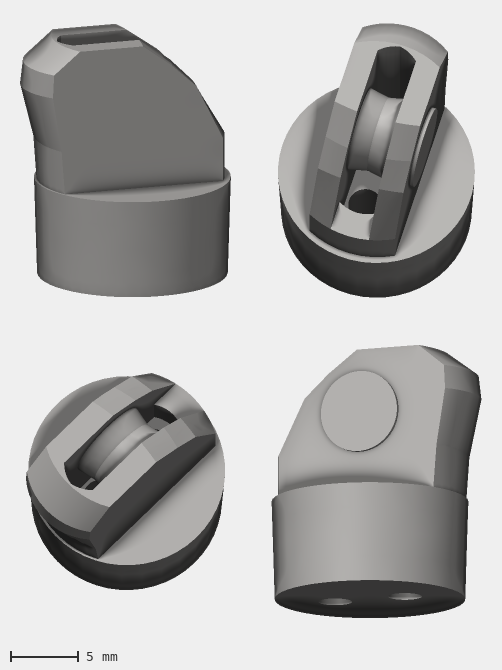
import cadquery as cq

base_bottom_radius = 7.03
base_top_radius = 7.253
base_height = 7.32

height = 18.11
head_width = 6.6
head_half_width = head_width / 2
floor_z = 10.58
head_sections = [
    (base_height, -7.08, -6.28, 6.77, 5.95),
    (floor_z, -7.32, -6.54, 6.77, 5.95),
    (14.72, -8.44, -7.2, 4.2, 3.9),
    (16.46, -8.2, -7.12, 2.48, 2.0),
    (height, -5.98, -5.1, 0.1, -0.24),
]

slot_width = 2.95
slot_half_width = slot_width / 2
slot_front_crest = -5.83
slot_front_edge = -5.05
slot_front_bulge = 0.15
pocket_rear_crest = 4.8
pocket_rear_edge = 4.35
pocket_floor_z = base_height
slot_rear_end = base_top_radius

axle_y = -0.53
axle_z = 13.42
wheel_rim_radius = 3.11
wheel_groove_radius = 2.8
pin_radius = 3.0
pin_end_x = -3.6

hole_radius = 1.25
hole_offset = 2.75


def head_section(z, front_crest, front_edge, rear_crest, rear_edge):
    """Level outline with straight sides and bowed front and rear ends."""
    return (
        cq.Workplane("XY", origin=(0, 0, z))
        .moveTo(-head_half_width, front_edge)
        .threePointArc((0, front_crest), (head_half_width, front_edge))
        .lineTo(head_half_width, rear_edge)
        .threePointArc((0, rear_crest), (-head_half_width, rear_edge))
        .close()
        .val()
    )


def make_head():
    wires = [head_section(*section) for section in head_sections]
    return cq.Workplane(cq.Solid.makeLoft(wires, True))


def make_base():
    return (
        cq.Workplane("XZ")
        .polyline([(0, 0), (base_bottom_radius, 0), (base_top_radius, base_height), (0, base_height)])
        .close()
        .revolve(360, (0, 0), (0, 1))
    )


def start_slot_outline(z):
    """Pointed front wall of the slot, drawn from its left to its right end."""
    middle_x = slot_half_width / 2
    middle_y = (slot_front_crest + slot_front_edge) / 2 - slot_front_bulge
    return (
        cq.Workplane("XY", origin=(0, 0, z))
        .moveTo(-slot_half_width, slot_front_edge)
        .threePointArc((-middle_x, middle_y), (0, slot_front_crest))
        .threePointArc((middle_x, middle_y), (slot_half_width, slot_front_edge))
    )


def make_slot():
    """Slot open at the top and rear, with a pocket sunk into its floor."""
    upper = (
        start_slot_outline(floor_z)
        .lineTo(slot_half_width, slot_rear_end)
        .lineTo(-slot_half_width, slot_rear_end)
        .close()
        .extrude(height - floor_z)
    )
    pocket = (
        start_slot_outline(pocket_floor_z)
        .lineTo(slot_half_width, pocket_rear_edge)
        .threePointArc((0, pocket_rear_crest), (-slot_half_width, pocket_rear_edge))
        .close()
        .extrude(height - pocket_floor_z)
    )
    return upper.union(pocket)


def make_holes():
    return (
        cq.Workplane("XY")
        .pushPoints([(0, -hole_offset), (0, hole_offset)])
        .circle(hole_radius)
        .extrude(base_height)
    )


def make_wheel():
    """V-grooved wheel filling the slot from cheek to cheek."""
    return (
        cq.Workplane("XY", origin=(0, axle_y, axle_z))
        .moveTo(-slot_half_width, 0)
        .lineTo(-slot_half_width, wheel_rim_radius)
        .lineTo(0, wheel_groove_radius)
        .lineTo(slot_half_width, wheel_rim_radius)
        .lineTo(slot_half_width, 0)
        .close()
        .revolve(360, (0, 0), (1, 0))
    )


def make_pin_end():
    """Disc standing slightly proud of the left cheek."""
    return (
        cq.Workplane("YZ", origin=(pin_end_x, axle_y, axle_z))
        .circle(pin_radius)
        .extrude(-slot_half_width - pin_end_x)
    )


body = make_base().union(make_head())
body = body.cut(make_slot()).cut(make_holes())
result = body.union(make_wheel()).union(make_pin_end())